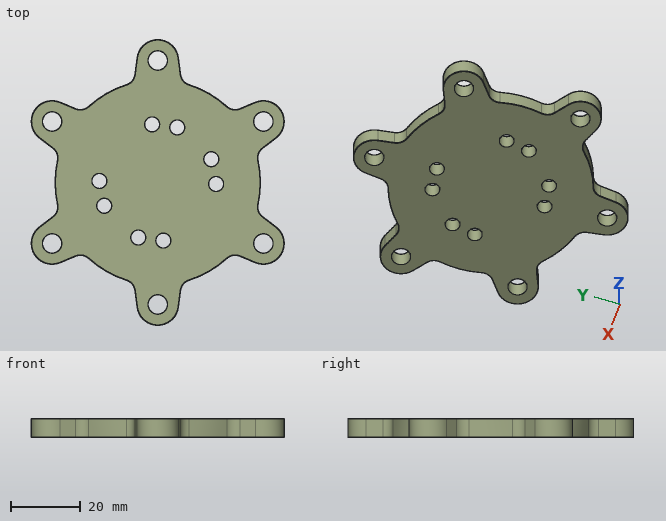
import cadquery as cq
import math

thickness = 5.5
disc_radius = 29.5
edge_chamfer = 0.15

lug_count = 6
first_lug_direction = 90.0
lug_circle_radius = 35.0
lug_radius = 6.0
lug_hole_diameter = 5.5
lug_flank_taper = 7.5
lug_root_fillet = 3.5

inner_hole_diameter = 4.23
inner_circle_radius = 16.75
inner_set_direction = 47.0
inner_pair_step = 72.0
inner_hole_step = 25.0

position_tolerance = 0.01

lug_directions = [first_lug_direction + i * 360.0 / lug_count for i in range(lug_count)]


def polar(radius, degrees):
    angle = math.radians(degrees)
    return (radius * math.cos(angle), radius * math.sin(angle))


def make_lug(direction):
    """Rounded lug along +X that widens toward the disc, turned to its direction."""
    taper = math.radians(lug_flank_taper)
    tangent_x = lug_circle_radius + lug_radius * math.sin(taper)
    tangent_y = lug_radius * math.cos(taper)
    root_x = disc_radius / 2
    root_y = tangent_y + (tangent_x - root_x) * math.tan(taper)
    lug = (
        cq.Workplane("XY")
        .moveTo(root_x, -root_y)
        .lineTo(tangent_x, -tangent_y)
        .threePointArc((lug_circle_radius + lug_radius, 0), (tangent_x, tangent_y))
        .lineTo(root_x, root_y)
        .close()
        .extrude(thickness)
    )
    return lug.rotate((0, 0, 0), (0, 0, 1), direction)


def make_plate():
    plate = cq.Workplane("XY").circle(disc_radius).extrude(thickness)
    for direction in lug_directions:
        plate = plate.union(make_lug(direction))
    return plate


def is_lug_root(edge):
    """True for an upright edge where a lug flank meets the disc."""
    center = edge.Center()
    return abs(math.hypot(center.x, center.y) - disc_radius) < position_tolerance


def round_lug_roots(plate):
    roots = [edge for edge in plate.edges("|Z").vals() if is_lug_root(edge)]
    return plate.newObject(roots).fillet(lug_root_fillet)


def chamfer_rims(plate):
    return plate.faces("<Z or >Z").chamfer(edge_chamfer)


def lug_hole_points():
    return [polar(lug_circle_radius, direction) for direction in lug_directions]


def inner_hole_points():
    points = []
    for set_direction in (inner_set_direction, inner_set_direction + 180.0):
        for pair_side in (-0.5, 0.5):
            for hole_side in (-0.5, 0.5):
                offset = pair_side * inner_pair_step + hole_side * inner_hole_step
                points.append(polar(inner_circle_radius, set_direction + offset))
    return points


def drill_through(plate, points, diameter):
    drills = cq.Workplane("XY").pushPoints(points).circle(diameter / 2).extrude(thickness)
    return plate.cut(drills)


result = chamfer_rims(round_lug_roots(make_plate()))
result = drill_through(result, lug_hole_points(), lug_hole_diameter)
result = drill_through(result, inner_hole_points(), inner_hole_diameter)